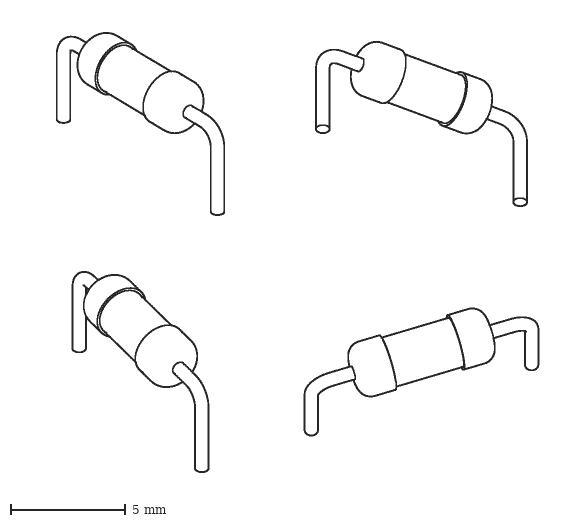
import cadquery as cq

overall_length = 10.76
body_diameter = 2.5
waist_diameter = 2.25
body_length = 6.29
lead_diameter = 0.6
overall_height = 5.5

waist_length = body_length / 2
body_end_round = body_diameter / 4
bend_radius = 1.5 * lead_diameter
lead_spacing = overall_length - lead_diameter
lead_drop = overall_height - body_diameter / 2


def make_body():
    """Cylinder with rounded ends and a slightly thinner waist."""
    half_length = body_length / 2
    half_waist = waist_length / 2
    cylinder = (
        cq.Workplane("YZ", origin=(-half_length, 0, 0))
        .circle(body_diameter / 2)
        .extrude(body_length)
        .faces("<X or >X")
        .edges()
        .fillet(body_end_round)
    )
    waist_cutter = (
        cq.Workplane("YZ", origin=(-half_waist, 0, 0))
        .circle(body_diameter)
        .circle(waist_diameter / 2)
        .extrude(waist_length)
    )
    return cylinder.cut(waist_cutter)


def make_lead(side):
    """Round wire from one body end (side -1 or +1), bent down to its tip."""
    body_end_x = side * body_length / 2
    lead_x = side * lead_spacing / 2
    bend_start_x = lead_x - side * bend_radius
    path = (
        cq.Workplane("XZ")
        .moveTo(body_end_x, 0)
        .lineTo(bend_start_x, 0)
        .tangentArcPoint((lead_x, -bend_radius), relative=False)
        .lineTo(lead_x, -lead_drop)
    )
    return cq.Workplane("YZ", origin=(body_end_x, 0, 0)).circle(lead_diameter / 2).sweep(path)


body = make_body()
leads = [make_lead(side) for side in (-1, 1)]

result = cq.Compound.makeCompound([body.val(), *[lead.val() for lead in leads]])